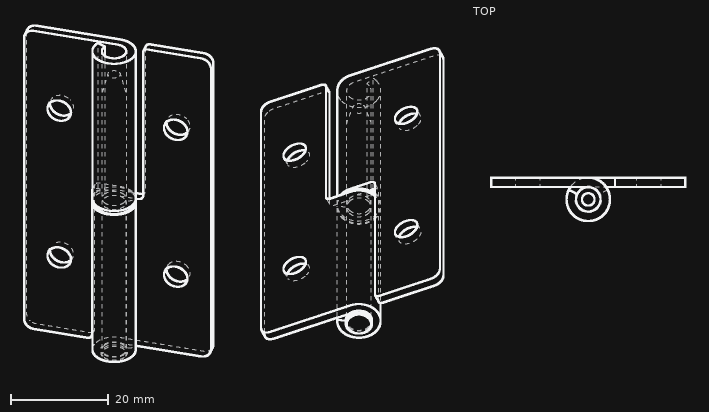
import cadquery as cq
import math

leaf_height = 75.0
half_width = 20.0
leaf_thickness = 2.0
outer_corner_radius = 2.1
inner_corner_radius = 1.0
plate_inner_edge = 5.5

barrel_radius = 4.5
bore_radius = barrel_radius - leaf_thickness
curl_end_angle = 154

hole_diameter = 5.0
hole_offset_x = 12.5
hole_offset_z = 18.5

collar_thickness = 1.0
head_radius = 2.7
head_height = 1.0
head_chamfer = 0.2
tip_depth = 5.8
tip_radius = 1.3
taper_length = 5.0

half_height = leaf_height / 2
half_collar = collar_thickness / 2


def polar(radius, angle):
    """Point in the XY plane at an angle in degrees about the hinge axis."""
    return (radius * math.cos(math.radians(angle)), radius * math.sin(math.radians(angle)))


def make_plate():
    """Flat part of the leaf, full height, with its two outer corners and free inner corner rounded."""
    plate = cq.Workplane("XY").box(
        half_width - plate_inner_edge, leaf_thickness, leaf_height, centered=(False, False, True)
    ).translate((-half_width, bore_radius, 0))
    plate = plate.edges("|Y and <X").fillet(outer_corner_radius)
    return plate.edges("|Y and >X and <Z").fillet(inner_corner_radius)


def make_barrel():
    """Curl above the collar, joined to a short strip that reaches the plate."""
    middle_angle = (curl_end_angle - 270) / 2
    return (
        cq.Workplane("XY", origin=(0, 0, half_collar))
        .moveTo(-plate_inner_edge, barrel_radius)
        .lineTo(0, barrel_radius)
        .threePointArc(polar(barrel_radius, middle_angle), polar(barrel_radius, curl_end_angle))
        .lineTo(*polar(bore_radius, curl_end_angle))
        .threePointArc(polar(bore_radius, middle_angle), (0, bore_radius))
        .lineTo(-plate_inner_edge, bore_radius)
        .close()
        .extrude(half_height - half_collar)
    )


def make_leaf():
    """Leaf on the -X side, with its barrel in the upper half."""
    leaf = make_plate().union(make_barrel()).clean()
    notch_corner = cq.selectors.NearestToPointSelector(
        (-plate_inner_edge, bore_radius + leaf_thickness / 2, half_collar)
    )
    leaf = leaf.edges("|Y").edges(notch_corner).fillet(inner_corner_radius)
    holes = (
        cq.Workplane("XZ", origin=(0, barrel_radius, 0))
        .pushPoints([(-hole_offset_x, -hole_offset_z), (-hole_offset_x, hole_offset_z)])
        .circle(hole_diameter / 2)
        .extrude(leaf_thickness)
    )
    return leaf.cut(holes).solids()


def make_pin():
    """Turned pin: head below the leaves, round-edged collar between the barrels, tapered tip."""
    tip_z = half_height - tip_depth
    head_bottom = -half_height - head_height
    collar_flat_radius = barrel_radius - half_collar
    return (
        cq.Workplane("XZ")
        .moveTo(0, head_bottom)
        .lineTo(head_radius - head_chamfer, head_bottom)
        .lineTo(head_radius, head_bottom + head_chamfer)
        .lineTo(head_radius, -half_height)
        .lineTo(bore_radius, -half_height)
        .lineTo(bore_radius, -half_collar)
        .lineTo(collar_flat_radius, -half_collar)
        .radiusArc((barrel_radius, 0), -half_collar)
        .radiusArc((collar_flat_radius, half_collar), -half_collar)
        .lineTo(bore_radius, half_collar)
        .lineTo(bore_radius, tip_z - taper_length)
        .lineTo(tip_radius, tip_z)
        .lineTo(0, tip_z)
        .close()
        .revolve(360, (0, 0, 0), (0, 1, 0))
    )


leaves = [make_leaf().rotate((0, 0, 0), (0, 1, 0), turn) for turn in (0, 180)]
pin = make_pin()

result = cq.Compound.makeCompound([*(leaf.val() for leaf in leaves), pin.val()])